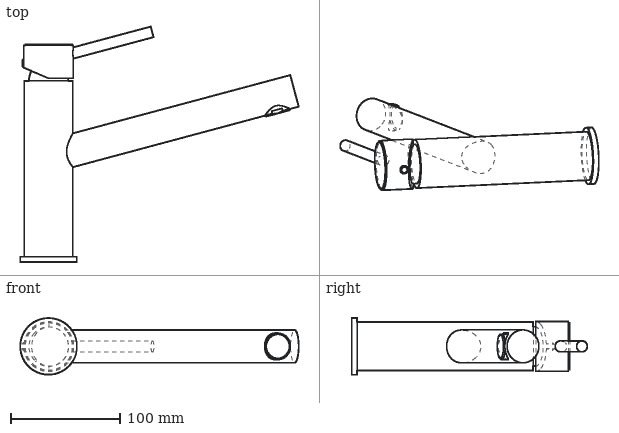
import cadquery as cq
import math

OVERALL_LENGTH = 255.2
OVERALL_HEIGHT = 216.0

FLANGE_DIAMETER = 52.0
FLANGE_HEIGHT = 5.0
BODY_DIAMETER = 44.7
BODY_TOP = 166.0
NECK_RADIUS = 18.0
CAP_DIAMETER = 45.7
CAP_BOTTOM = 168.5
CAP_TOP = 198.5
TOP_DISC_DIAMETER = 43.0
TOP_DISC_HEIGHT = 1.3
CAP_CUT_ANGLE = 23.0

PIN_DIAMETER = 7.5
PIN_HEIGHT = 182.2
PIN_TIP = 24.0
PIN_CHAMFER = 1.0

TILT = 15.0
SPOUT_DIAMETER = 30.0
SPOUT_END_X = (
    OVERALL_LENGTH - FLANGE_DIAMETER / 2 - SPOUT_DIAMETER / 2 * math.sin(math.radians(TILT))
)
SPOUT_END = (SPOUT_END_X, 157.0)
LEVER_DIAMETER = 10.2
LEVER_END = (95.0, OVERALL_HEIGHT - LEVER_DIAMETER / 2 * math.cos(math.radians(TILT)))

OUTLET_DIAMETER = 24.5
OUTLET_SETBACK = 20.2
OUTLET_PROTRUSION = 1.0
OUTLET_CHAMFER = 1.3
OUTLET_FLAT_DEPTH = 1.0
OUTLET_FLAT_HEIGHT = 3.5


def column_disc(diameter, bottom, top):
    """Cylinder on the column axis between two heights."""
    plane = cq.Plane((0, bottom, 0), xDir=(1, 0, 0), normal=(0, 1, 0))
    return cq.Workplane(plane).circle(diameter / 2).extrude(top - bottom)


def tilted_rod(diameter, end):
    """Rod from the column axis out to the centre of its square-cut end."""
    reach = end[0] / arm_direction().x
    start = cq.Vector(end[0], end[1], 0) - arm_direction() * reach
    plane = cq.Plane(start, xDir=(0, 0, 1), normal=arm_direction())
    return cq.Workplane(plane).circle(diameter / 2).extrude(reach)


def arm_direction():
    """Unit vector along the lever and the spout."""
    return cq.Plane.XY().rotated((0, 0, TILT)).xDir


def make_cap():
    """Handle cap with a sloping relief below its back half."""
    cap = column_disc(CAP_DIAMETER, CAP_BOTTOM, CAP_TOP)
    relief = (
        cq.Workplane("XY")
        .rect(CAP_DIAMETER, CAP_DIAMETER)
        .extrude(CAP_DIAMETER / 2, both=True)
        .translate((-CAP_DIAMETER / 2, -CAP_DIAMETER / 2, 0))
        .rotate((0, 0, 0), (0, 0, 1), -CAP_CUT_ANGLE)
        .translate((0, CAP_BOTTOM, 0))
    )
    return cap.cut(relief)


def make_pin():
    """Chamfered pin standing out of the back of the cap."""
    plane = cq.Plane((0, PIN_HEIGHT, 0), xDir=(0, 0, 1), normal=(-1, 0, 0))
    pin = cq.Workplane(plane).circle(PIN_DIAMETER / 2).extrude(PIN_TIP)
    return pin.faces("<X").chamfer(PIN_CHAMFER)


def make_outlet():
    """Chamfered round outlet square to the underside of the spout, with a flat on its +Z side."""
    along = arm_direction()
    down = along.cross(cq.Vector(0, 0, 1))
    centre = cq.Vector(SPOUT_END[0], SPOUT_END[1], 0) - along * OUTLET_SETBACK
    plane = cq.Plane(centre, xDir=along, normal=down)
    length = SPOUT_DIAMETER / 2 + OUTLET_PROTRUSION
    outlet = cq.Workplane(plane).circle(OUTLET_DIAMETER / 2).extrude(length)
    outlet = outlet.faces(cq.selectors.DirectionMinMaxSelector(down)).chamfer(OUTLET_CHAMFER)
    flat = (
        cq.Workplane(plane)
        .workplane(offset=length - OUTLET_FLAT_HEIGHT)
        .center(0, OUTLET_DIAMETER / 2)
        .rect(OUTLET_DIAMETER, 2 * OUTLET_FLAT_DEPTH)
        .extrude(OUTLET_FLAT_HEIGHT)
    )
    return outlet.cut(flat)


flange = column_disc(FLANGE_DIAMETER, 0, FLANGE_HEIGHT)
body = column_disc(BODY_DIAMETER, 0, BODY_TOP)
neck = cq.Workplane("XY").sphere(NECK_RADIUS).translate((0, BODY_TOP, 0))
top_disc = column_disc(TOP_DISC_DIAMETER, CAP_TOP, CAP_TOP + TOP_DISC_HEIGHT)

result = (
    flange.union(body)
    .union(neck)
    .union(make_cap())
    .union(top_disc)
    .union(make_pin())
    .union(tilted_rod(LEVER_DIAMETER, LEVER_END))
    .union(tilted_rod(SPOUT_DIAMETER, SPOUT_END))
    .union(make_outlet())
)